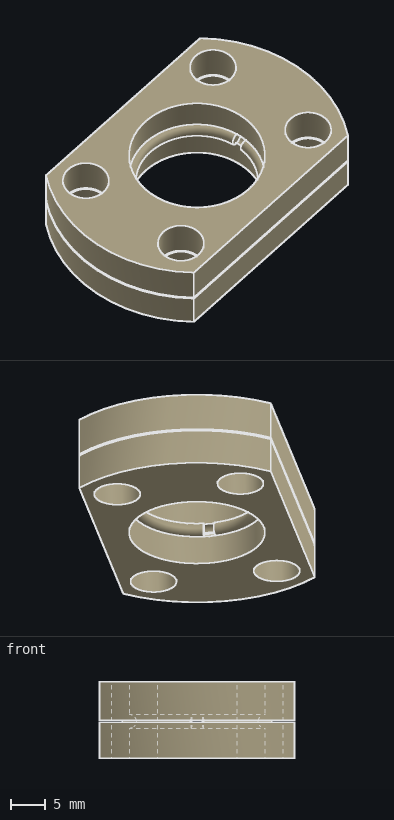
import cadquery as cq

blank_diameter = 44.0
width_across_flats = 28.0
total_height = 11.0
lower_thickness = 5.2
plate_gap = 0.25
upper_thickness = total_height - lower_thickness - plate_gap

bore_diameter = 19.5
bolt_hole_diameter = 6.6
bolt_spacing_x = 18.0
bolt_spacing_y = 28.0

wire_diameter = 2.0
ring_center_radius = bore_diameter / 2
ring_center_z = lower_thickness + plate_gap / 2
split_angle = 10.0
ring_segment_count = 2


def flange_plate(bottom_z, thickness):
    """Flatted disc with the central bore and four bolt holes."""
    blank = cq.Workplane("XY").circle(blank_diameter / 2).extrude(thickness)
    flats = cq.Workplane("XY").rect(width_across_flats, blank_diameter).extrude(thickness)
    bore = cq.Workplane("XY").circle(bore_diameter / 2).extrude(thickness)
    bolt_holes = (
        cq.Workplane("XY")
        .rect(bolt_spacing_x, bolt_spacing_y, forConstruction=True)
        .vertices()
        .circle(bolt_hole_diameter / 2)
        .extrude(thickness)
    )
    plate = blank.intersect(flats).cut(bore).cut(bolt_holes)
    return plate.translate((0, 0, bottom_z))


def wire_arc(start_angle, sweep_angle):
    """Arc of round wire about the Z axis, starting at an angle measured from +X."""
    arc = (
        cq.Workplane("XZ")
        .center(ring_center_radius, ring_center_z)
        .circle(wire_diameter / 2)
        .revolve(sweep_angle, (-ring_center_radius, 0, 0), (-ring_center_radius, 1, 0))
    )
    return arc.rotate((0, 0, 0), (0, 0, 1), start_angle)


lower_plate = flange_plate(0, lower_thickness)
upper_plate = flange_plate(lower_thickness + plate_gap, upper_thickness)

ring_groove = wire_arc(0, 360)
result = lower_plate.union(upper_plate).cut(ring_groove)

segment_pitch = 360 / ring_segment_count
segment_sweep = segment_pitch - split_angle
for index in range(ring_segment_count):
    segment_start = -90 + split_angle / 2 + index * segment_pitch
    result = result.union(wire_arc(segment_start, segment_sweep))